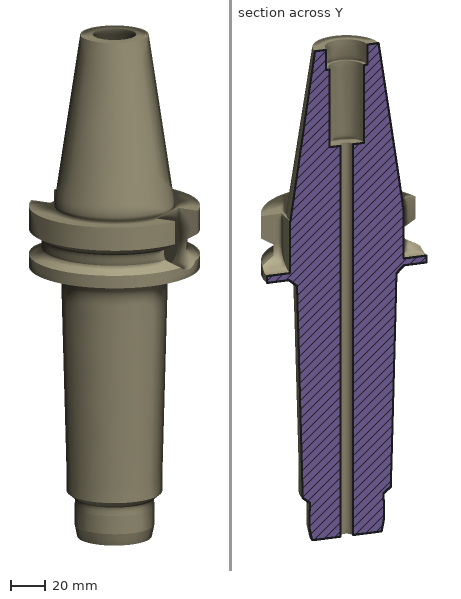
import cadquery as cq

TOTAL_LENGTH = 302.5
TAPER_BASE_Z = 201.0
FLANGE_TOP_Z = 199.5
UPPER_RIM_BOTTOM_Z = 185.5
GROOVE_TOP_Z = 181.0
GROOVE_BOTTOM_Z = 174.5
LOWER_RIM_TOP_Z = 170.5
FLANGE_BOTTOM_Z = 162.8
BODY_TOP_Z = 158.5
COLLAR_TOP_Z = 34.5
COLLAR_BOTTOM_Z = 27.2
NECK_TOP_Z = 23.3
NOSE_TOP_Z = 18.2
NOSE_CHAMFER_HEIGHT = 7.3

TAPER_TOP_RADIUS = 20.0
TAPER_BASE_RADIUS = 35.0
FLANGE_RADIUS = 50.0
GROOVE_RADIUS = 42.7
FLANGE_CONE_RADIUS = 36.0
BODY_TOP_RADIUS = 31.2
COLLAR_RADIUS = 27.8
NOSE_RADIUS = 23.3
NECK_RADIUS = 23.0
NOSE_END_RADIUS = 21.8

SLOT_WIDTH = 26.5
SLOT_BOTTOM_Z = 167.3
SLOT_FLOOR_X = 35.5

ENTRY_RADIUS = 12.7
ENTRY_DEPTH = 12.5
BORE_RADIUS = 10.5
BORE_DEPTH = 60.5
THROUGH_RADIUS = 3.5


def make_holder():
    """Revolve the outer profile around Z."""
    profile = [
        (0, 0),
        (NOSE_END_RADIUS, 0),
        (NOSE_RADIUS, NOSE_CHAMFER_HEIGHT),
        (NOSE_RADIUS, NOSE_TOP_Z),
        (NECK_RADIUS, NECK_TOP_Z),
        (COLLAR_RADIUS, COLLAR_BOTTOM_Z),
        (COLLAR_RADIUS, COLLAR_TOP_Z),
        (BODY_TOP_RADIUS, BODY_TOP_Z),
        (FLANGE_CONE_RADIUS, FLANGE_BOTTOM_Z),
        (FLANGE_RADIUS, FLANGE_BOTTOM_Z),
        (FLANGE_RADIUS, LOWER_RIM_TOP_Z),
        (GROOVE_RADIUS, GROOVE_BOTTOM_Z),
        (GROOVE_RADIUS, GROOVE_TOP_Z),
        (FLANGE_RADIUS, UPPER_RIM_BOTTOM_Z),
        (FLANGE_RADIUS, FLANGE_TOP_Z),
        (TAPER_BASE_RADIUS, FLANGE_TOP_Z),
        (TAPER_BASE_RADIUS, TAPER_BASE_Z),
        (TAPER_TOP_RADIUS, TOTAL_LENGTH),
        (0, TOTAL_LENGTH),
    ]
    return cq.Workplane("XZ").polyline(profile).close().revolve(360, (0, 0), (0, 1))


def make_drive_slot():
    """Round-bottomed slot cutter on the +X side, open at the flange top."""
    half_width = SLOT_WIDTH / 2
    arc_center_z = SLOT_BOTTOM_Z + half_width
    return (
        cq.Workplane("YZ", origin=(SLOT_FLOOR_X, 0, 0))
        .moveTo(-half_width, FLANGE_TOP_Z)
        .lineTo(-half_width, arc_center_z)
        .threePointArc((0, SLOT_BOTTOM_Z), (half_width, arc_center_z))
        .lineTo(half_width, FLANGE_TOP_Z)
        .close()
        .extrude(FLANGE_RADIUS)
    )


def make_axial_hole(radius, depth):
    """Cylinder reaching down from the small end of the taper."""
    return cq.Workplane("XY", origin=(0, 0, TOTAL_LENGTH)).circle(radius).extrude(-depth)


result = make_holder()

drive_slot = make_drive_slot()
for angle in (0, 180):
    result = result.cut(drive_slot.rotate((0, 0, 0), (0, 0, 1), angle))

for radius, depth in (
    (ENTRY_RADIUS, ENTRY_DEPTH),
    (BORE_RADIUS, BORE_DEPTH),
    (THROUGH_RADIUS, TOTAL_LENGTH),
):
    result = result.cut(make_axial_hole(radius, depth))